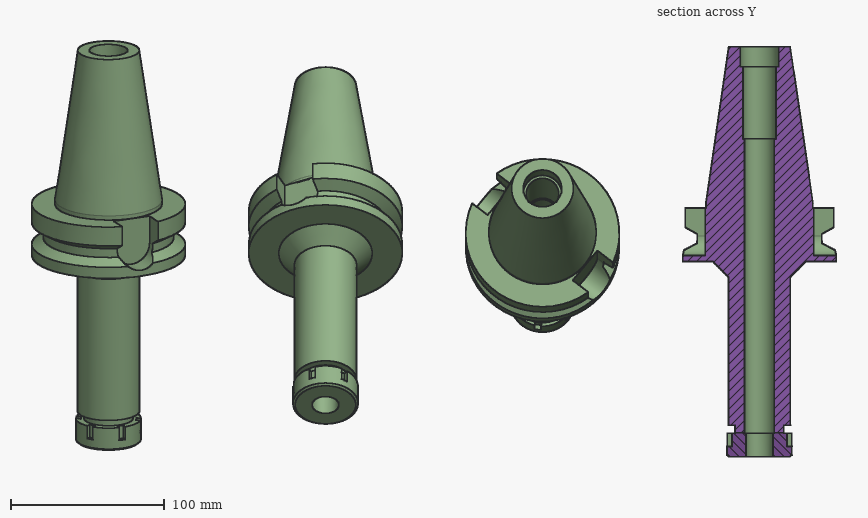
import cadquery as cq
import math


gauge_radius = 69.85 / 2
taper_length = 101.8
taper_slope = 7 / 48
taper_tip_radius = gauge_radius - taper_length * taper_slope

flange_radius = 50.0
flange_top = -3.0
flange_bottom = flange_top - 35.0
upper_rim_width = 12.8
lower_rim_width = 7.5
groove_depth = 7.5
groove_wall_angle = 30.0
groove_wall_height = groove_depth * math.tan(math.radians(groove_wall_angle))
groove_radius = flange_radius - groove_depth
upper_rim_bottom = flange_top - upper_rim_width
lower_rim_top = flange_bottom + lower_rim_width

drive_slot_width = 25.7
drive_slot_length = 31.0
drive_slot_floor = 35.4

shank_radius = 20.3
shank_cone_height = 10.1
shank_cone_radius = shank_radius + shank_cone_height
shank_bottom = -144.5
neck_radius = 16.0
neck_length = 5.0
neck_bottom = shank_bottom - neck_length

counterbore_radius = 12.5
counterbore_depth = 13.0
drawbar_bore_radius = 10.6
drawbar_bore_depth = 60.0
through_bore_radius = 9.6

nut_radius = 21.2
nut_bottom = -165.0
nut_chamfer_height = 1.2
nut_chamfer_width = 1.5
nut_bore_radius = 8.7
spanner_slot_count = 6
spanner_slot_width = 4.3
spanner_slot_length = 8.7
spanner_slot_floor = 18.0


def make_holder_blank():
    """Solid of revolution: taper, grooved flange, shank and neck."""
    profile = [
        (0, taper_length),
        (taper_tip_radius, taper_length),
        (gauge_radius, 0),
        (gauge_radius, flange_top),
        (flange_radius, flange_top),
        (flange_radius, upper_rim_bottom),
        (groove_radius, upper_rim_bottom - groove_wall_height),
        (groove_radius, lower_rim_top + groove_wall_height),
        (flange_radius, lower_rim_top),
        (flange_radius, flange_bottom),
        (shank_cone_radius, flange_bottom),
        (shank_radius, flange_bottom - shank_cone_height),
        (shank_radius, shank_bottom),
        (neck_radius, shank_bottom),
        (neck_radius, neck_bottom),
        (0, neck_bottom),
    ]
    return cq.Workplane("XZ").polyline(profile).close().revolve(360, (0, 0, 0), (0, 1, 0))


def make_drive_slot():
    """Round-bottomed cutter that opens through the flange top on the +X side."""
    half_width = drive_slot_width / 2
    round_bottom = flange_top - drive_slot_length
    round_center = round_bottom + half_width
    return (
        cq.Workplane("YZ", origin=(drive_slot_floor, 0, 0))
        .moveTo(-half_width, flange_top)
        .lineTo(-half_width, round_center)
        .threePointArc((0, round_bottom), (half_width, round_center))
        .lineTo(half_width, flange_top)
        .close()
        .extrude(flange_radius - drive_slot_floor)
    )


def make_bore(radius, depth):
    """Cylindrical cutter that runs down the axis from the taper tip."""
    return cq.Workplane("XY", origin=(0, 0, taper_length)).circle(radius).extrude(-depth)


def make_holder():
    holder = make_holder_blank()
    for angle in (0, 180):
        holder = holder.cut(make_drive_slot().rotate((0, 0, 0), (0, 0, 1), angle))
    bores = (
        (counterbore_radius, counterbore_depth),
        (drawbar_bore_radius, drawbar_bore_depth),
        (through_bore_radius, taper_length - neck_bottom),
    )
    for radius, depth in bores:
        holder = holder.cut(make_bore(radius, depth))
    return holder


def make_spanner_slot():
    """Flat-floored slot cutter, open at the nut's top face, on the +X side."""
    return cq.Workplane("XY").box(
        nut_radius - spanner_slot_floor,
        spanner_slot_width,
        spanner_slot_length,
        centered=(False, True, False),
    ).translate((spanner_slot_floor, 0, neck_bottom - spanner_slot_length))


def make_nut():
    profile = [
        (nut_bore_radius, nut_bottom),
        (nut_radius - nut_chamfer_width, nut_bottom),
        (nut_radius, nut_bottom + nut_chamfer_height),
        (nut_radius, neck_bottom),
        (nut_bore_radius, neck_bottom),
    ]
    nut = cq.Workplane("XZ").polyline(profile).close().revolve(360, (0, 0, 0), (0, 1, 0))
    for index in range(spanner_slot_count):
        angle = index * 360 / spanner_slot_count
        nut = nut.cut(make_spanner_slot().rotate((0, 0, 0), (0, 0, 1), angle))
    return nut


holder = make_holder()
nut = make_nut()

result = cq.Compound.makeCompound([holder.val(), nut.val()])